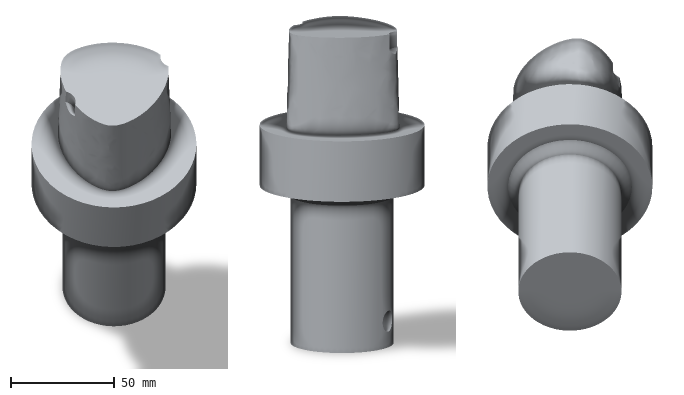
import cadquery as cq
import math

TOTAL_HEIGHT = 156.0
FLANGE_BOTTOM = 78.0
FLANGE_TOP = 108.0
COLLAR_HEIGHT = 5.0

SHANK_RADIUS = 50.0 / 2
FLANGE_RADIUS = 80.0 / 2
COLLAR_RADIUS = SHANK_RADIUS + COLLAR_HEIGHT

POLYGON_BASE_RADIUS = 27.5
POLYGON_LOBE = 2.2
POLYGON_TAPER = 1 / 40
OUTLINE_POINTS = 48

GROOVE_RADIUS = 6.9
GROOVE_STRAIGHT_DEPTH = 8.0
GROOVE_WALL_DEPTH = 2.2

SCREW_HOLE_DIAMETER = 10.3
SCREW_HOLE_HEIGHT = 13.0
SCREW_HOLE_DEPTH = SCREW_HOLE_DIAMETER

polygon_height = TOTAL_HEIGHT - FLANGE_TOP
polygon_top_radius = POLYGON_BASE_RADIUS - POLYGON_TAPER * polygon_height


def polygon_point(radius, angle):
    """Point whose outward normal is at `angle` on the three-lobed outline."""
    lobe_angle = 3 * (angle - math.pi / 2)
    reach = radius + POLYGON_LOBE * math.cos(lobe_angle)
    reach_slope = -3 * POLYGON_LOBE * math.sin(lobe_angle)
    x = reach * math.cos(angle) - reach_slope * math.sin(angle)
    y = reach * math.sin(angle) + reach_slope * math.cos(angle)
    return x, y


def polygon_outline(radius):
    step = 2 * math.pi / OUTLINE_POINTS
    return [polygon_point(radius, i * step) for i in range(OUTLINE_POINTS)]


def make_round_body():
    """Shank, conical collar and flange as one revolved profile."""
    profile = [
        (0, 0),
        (SHANK_RADIUS, 0),
        (SHANK_RADIUS, FLANGE_BOTTOM - COLLAR_HEIGHT),
        (COLLAR_RADIUS, FLANGE_BOTTOM),
        (FLANGE_RADIUS, FLANGE_BOTTOM),
        (FLANGE_RADIUS, FLANGE_TOP),
        (0, FLANGE_TOP),
    ]
    return cq.Workplane("XZ").polyline(profile).close().revolve(360, (0, 0), (0, 1))


def make_polygon_shank():
    return (
        cq.Workplane("XY", origin=(0, 0, FLANGE_TOP))
        .spline(polygon_outline(POLYGON_BASE_RADIUS), periodic=True).close()
        .workplane(offset=polygon_height)
        .spline(polygon_outline(polygon_top_radius), periodic=True).close()
        .loft(ruled=True)
    )


def make_groove_cutter(axis_y):
    """Vertical drill shape with a 90 degree point, centred at y = axis_y."""
    shoulder = TOTAL_HEIGHT - GROOVE_STRAIGHT_DEPTH
    profile = [
        (0, TOTAL_HEIGHT),
        (GROOVE_RADIUS, TOTAL_HEIGHT),
        (GROOVE_RADIUS, shoulder),
        (0, shoulder - GROOVE_RADIUS),
    ]
    return (
        cq.Workplane("XZ", origin=(0, axis_y, 0))
        .polyline(profile).close()
        .revolve(360, (0, 0), (0, 1))
    )


def make_screw_hole_cutter():
    start = (0, SHANK_RADIUS - SCREW_HOLE_DEPTH, SCREW_HOLE_HEIGHT)
    return (
        cq.Workplane("XZ", origin=start)
        .circle(SCREW_HOLE_DIAMETER / 2)
        .extrude(-2 * SCREW_HOLE_DEPTH)
    )


result = make_round_body().union(make_polygon_shank())

lobe_groove_y = polygon_top_radius + POLYGON_LOBE - GROOVE_WALL_DEPTH + GROOVE_RADIUS
flank_groove_y = -(polygon_top_radius - POLYGON_LOBE - GROOVE_WALL_DEPTH + GROOVE_RADIUS)
for groove_y in (lobe_groove_y, flank_groove_y):
    result = result.cut(make_groove_cutter(groove_y))

result = result.cut(make_screw_hole_cutter())